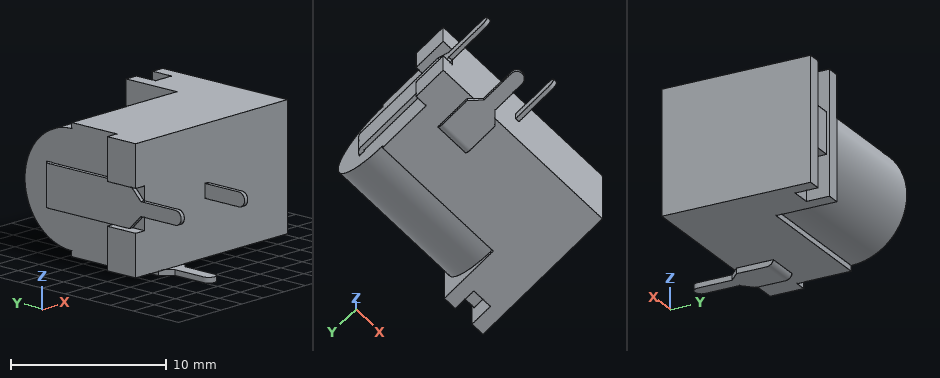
import cadquery as cq

length = 14.4
depth = 11.0
height = 9.0
mid_z = height / 2

barrel_radius = 4.1
barrel_axis_y = 6.5
flange_thickness = 3.5
flange_x = length - flange_thickness

lip_projection = 0.9
lip_depth = 2.5

notch_width = 1.5
notch_depth = 1.7
notch_x = length - flange_thickness / 2
web_setback = 0.2
web_height = 3.0

pin_length = 3.5
pin_width = 1.0
bend_radius = 0.5
embed = 0.3

front_strip_width = 3.0
front_strip_thickness = 0.3
front_strip_end_y = 8.65
front_strip_gap = 0.05
front_neck_y = 0.05

bottom_strip_width = 2.5
bottom_strip_thickness = 0.4
bottom_strip_end_y = 3.0
bottom_neck_y = -0.47
bottom_strip_x = 3.7

side_pin_thickness = 0.3
side_pin_x = 6.7


def block(x0, x1, y0, y1, z0, z1):
    """Axis-aligned box between two corners."""
    return cq.Workplane("XY").box(x1 - x0, y1 - y0, z1 - z0, centered=False).translate((x0, y0, z0))


def make_housing():
    """Half-block with a rounded barrel, a full-size flange and a slotted lip."""
    core = block(lip_projection, length, 0, barrel_axis_y, 0, height)
    flange = block(flange_x, length, 0, depth, 0, height)
    lip = block(0, lip_projection, 0, lip_depth, 0, height)
    barrel = (
        cq.Workplane("YZ", origin=(lip_projection, 0, 0))
        .center(barrel_axis_y, mid_z)
        .circle(barrel_radius)
        .extrude(flange_x - lip_projection)
    )
    slot_floor_x = lip_projection - front_strip_gap
    half_slot = front_strip_width / 2
    slot = block(0, slot_floor_x, 0, lip_depth, mid_z - half_slot, mid_z + half_slot)
    return core.union(flange).union(lip).union(barrel).cut(slot)


def cut_flange_notches(body):
    """Notch the flange edge from top and bottom, leaving a web at mid-height."""
    x0 = notch_x - notch_width / 2
    x1 = notch_x + notch_width / 2
    notch_floor_y = depth - notch_depth
    web_y = depth - web_setback
    half_web = web_height / 2
    notch = block(x0, x1, notch_floor_y, depth, 0, height)
    web = block(x0, x1, notch_floor_y, web_y, mid_z - half_web, mid_z + half_web)
    return body.cut(notch.cut(web))


def make_strip(strip_width, end_y, neck_y, thickness):
    """Strip in the XY plane, centred on X, outer face at Z = 0 and inner face at Z = thickness.

    It narrows at 45 degrees to a round-ended pin toward -Y. Its +Y end
    bends inward and runs into the housing.
    """
    half_strip = strip_width / 2
    half_pin = pin_width / 2
    shoulder_y = neck_y + half_strip - half_pin
    round_y = half_pin - pin_length
    bend_y = end_y - bend_radius
    strip = (
        cq.Workplane("XY")
        .moveTo(-half_strip, bend_y)
        .lineTo(-half_strip, shoulder_y)
        .lineTo(-half_pin, neck_y)
        .lineTo(-half_pin, round_y)
        .threePointArc((0, -pin_length), (half_pin, round_y))
        .lineTo(half_pin, neck_y)
        .lineTo(half_strip, shoulder_y)
        .lineTo(half_strip, bend_y)
        .close()
        .extrude(thickness)
    )
    inner_z = thickness + embed
    bend = (
        cq.Workplane("YZ", origin=(-half_strip, 0, 0))
        .moveTo(bend_y, 0)
        .radiusArc((end_y, bend_radius), -bend_radius)
        .lineTo(end_y, inner_z)
        .lineTo(bend_y, inner_z)
        .close()
        .extrude(strip_width)
    )
    return strip.union(bend)


def make_front_terminal():
    """Terminal strip upright in front of the -X face, its outer face toward -X."""
    strip = make_strip(front_strip_width, front_strip_end_y, front_neck_y, front_strip_thickness)
    upright = strip.rotate((0, 0, 0), (0, 1, 0), 90)
    outer_face_x = lip_projection - front_strip_gap - front_strip_thickness
    return upright.translate((outer_face_x, 0, mid_z))


def make_bottom_terminal():
    """Terminal strip lying against the underside of the housing."""
    strip = make_strip(bottom_strip_width, bottom_strip_end_y, bottom_neck_y, bottom_strip_thickness)
    return strip.translate((bottom_strip_x, 0, -bottom_strip_thickness))


def make_side_pin():
    """Round-ended flat pin standing out of the -Y face."""
    half_pin = pin_width / 2
    round_y = half_pin - pin_length
    return (
        cq.Workplane("YZ", origin=(side_pin_x - side_pin_thickness / 2, 0, 0))
        .moveTo(embed, mid_z - half_pin)
        .lineTo(round_y, mid_z - half_pin)
        .threePointArc((-pin_length, mid_z), (round_y, mid_z + half_pin))
        .lineTo(embed, mid_z + half_pin)
        .close()
        .extrude(side_pin_thickness)
    )


housing = cut_flange_notches(make_housing())
result = housing.union(make_front_terminal()).union(make_bottom_terminal()).union(make_side_pin())